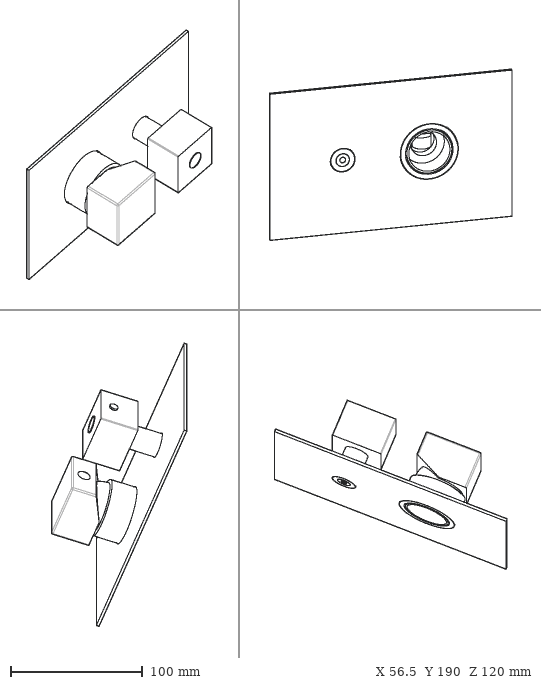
import cadquery as cq
import math


plate_thickness = 2.3
plate_width = 190.0
plate_height = 120.0
hole_clearance = 0.4

lever_y = -30.0
sleeve_radius = 22.5
sleeve_length = 23.0
sleeve_bevel_length = 0.8
sleeve_mouth_radius = 19.8
sleeve_back_bore_radius = 18.6
sleeve_back_lip = 2.3

lever_side = 45.0
lever_back = 24.5
lever_front = 55.0
lever_round = 1.1
lever_slant_length = 10.8
lever_slant_depth = 22.2
ball_radius = 19.5
ball_x = 23.8
skirt_radius = 17.7
skirt_bore_radius = 16.2
skirt_bore_depth = 16.7
socket_radius = 10.0
socket_depth = 7.6
pad_radius = 7.6
pad_width = 14.8
pad_height = 8.5
pad_end_bulge = 0.4

knob_y = 38.0
knob_side = 40.0
knob_back = 25.8
knob_front = 55.9
knob_round = 0.5
stem_radius = 9.3
groove_outer_radius = 5.3
groove_width = 0.2
groove_depth = knob_back
dimple_radius = 2.3
dimple_depth = 0.4
disc_radius = 6.6
disc_front = 56.5

button_root = 1.0
lever_button_x = 45.0
lever_button_radius = 5.0
lever_button_height = 2.0
knob_button_x = 45.8
knob_button_radius = 3.2
knob_button_height = 2.0
knob_button_rim = 1.3


def rod(y, x_start, x_end, radius):
    """Round bar along X, centred on height zero."""
    return (
        cq.Workplane("YZ", origin=(x_start, y, 0))
        .circle(radius)
        .extrude(x_end - x_start)
    )


def square_block(y, side, x_start, x_end):
    """Block with a square end face, centred on height zero."""
    return (
        cq.Workplane("YZ", origin=(x_start, y, 0))
        .rect(side, side)
        .extrude(x_end - x_start)
    )


def domed_button(x, face_y, radius, height, rim):
    """Round button on a +Y face: a straight rim with a spherical cap on it."""
    cap_height = height - rim
    cap_radius = (radius**2 + cap_height**2) / (2 * cap_height)
    middle_angle = math.asin(radius / cap_radius) / 2
    middle = (
        cap_radius * math.sin(middle_angle),
        height - cap_radius * (1 - math.cos(middle_angle)),
    )
    return (
        cq.Workplane("XY", origin=(x, face_y, 0))
        .moveTo(0, -button_root)
        .lineTo(radius, -button_root)
        .lineTo(radius, rim)
        .threePointArc(middle, (0, height))
        .close()
        .revolve(360, (0, 0), (0, 1))
    )


def make_plate():
    plate = cq.Workplane("YZ").rect(plate_width, plate_height).extrude(plate_thickness)
    for y, radius in ((lever_y, sleeve_radius), (knob_y, stem_radius)):
        plate = plate.cut(rod(y, 0, plate_thickness, radius + hole_clearance))
    return plate


def make_sleeve():
    return (
        cq.Workplane("XZ", origin=(0, lever_y, 0))
        .moveTo(0, sleeve_back_bore_radius)
        .lineTo(0, sleeve_radius)
        .lineTo(sleeve_length - sleeve_bevel_length, sleeve_radius)
        .lineTo(sleeve_length, sleeve_mouth_radius)
        .lineTo(sleeve_back_lip, sleeve_mouth_radius)
        .lineTo(sleeve_back_lip, sleeve_back_bore_radius)
        .close()
        .revolve(360, (0, 0), (1, 0))
    )


def lever_block():
    """Square block with rounded edges, cut away by a slant at its back +Y corner."""
    block = square_block(lever_y, lever_side, lever_back, lever_front)
    block = block.edges("|X or >X").fillet(lever_round)
    slant = (
        cq.Workplane("XY", origin=(lever_back, lever_y + lever_side / 2, 0))
        .lineTo(lever_slant_length, 0)
        .lineTo(0, -lever_slant_depth)
        .close()
        .extrude(lever_side / 2, both=True)
    )
    return block.cut(slant)


def lever_neck():
    """Ball whose back runs into a straight round skirt."""
    skirt_end = ball_x - math.sqrt(ball_radius**2 - skirt_radius**2)
    return (
        cq.Workplane("XZ", origin=(0, lever_y, 0))
        .lineTo(0, skirt_radius)
        .lineTo(skirt_end, skirt_radius)
        .threePointArc((ball_x, ball_radius), (ball_x + ball_radius, 0))
        .close()
        .revolve(360, (0, 0), (1, 0))
    )


def socket_pad():
    """Half-round pad on the socket floor, its upper and lower ends slightly bulged."""
    floor_x = skirt_bore_depth + socket_depth
    half_width = pad_width / 2
    half_height = pad_height / 2
    outline = (
        cq.Workplane("YZ", origin=(floor_x - pad_radius, lever_y, 0))
        .moveTo(-half_width, -half_height)
        .threePointArc((0, -half_height - pad_end_bulge), (half_width, -half_height))
        .lineTo(half_width, half_height)
        .threePointArc((0, half_height + pad_end_bulge), (-half_width, half_height))
        .close()
        .extrude(pad_radius)
    )
    barrel = (
        cq.Workplane("XY", origin=(floor_x, lever_y, 0))
        .circle(pad_radius)
        .extrude(pad_height, both=True)
    )
    return outline.intersect(barrel)


def make_lever():
    bore = rod(lever_y, 0, skirt_bore_depth, skirt_bore_radius)
    socket = rod(lever_y, skirt_bore_depth, skirt_bore_depth + socket_depth, socket_radius)
    button = domed_button(
        lever_button_x, lever_y + lever_side / 2, lever_button_radius, lever_button_height, 0
    )
    body = lever_block().union(lever_neck()).cut(bore).cut(socket)
    return body.union(socket_pad()).union(button)


def make_knob():
    stem = rod(knob_y, 0, knob_back, stem_radius)
    groove = rod(knob_y, 0, groove_depth, groove_outer_radius).cut(
        rod(knob_y, 0, groove_depth, groove_outer_radius - groove_width)
    )
    dimple = rod(knob_y, 0, dimple_depth, dimple_radius)
    block = square_block(knob_y, knob_side, knob_back, knob_front).edges("|X").fillet(knob_round)
    disc = rod(knob_y, knob_front, disc_front, disc_radius)
    button = domed_button(
        knob_button_x,
        knob_y + knob_side / 2,
        knob_button_radius,
        knob_button_height,
        knob_button_rim,
    )
    return stem.union(block).union(disc).union(button).cut(groove).cut(dimple)


plate = make_plate()
sleeve = make_sleeve()
lever = make_lever()
knob = make_knob()

bodies = (plate, sleeve, lever, knob)
result = cq.Compound.makeCompound([body.solids().val() for body in bodies])